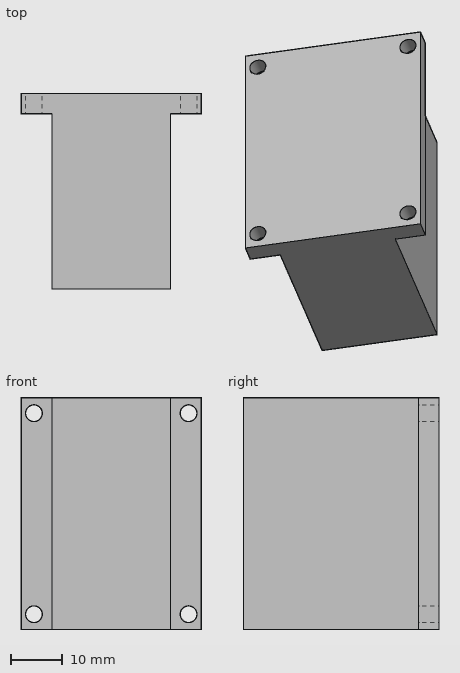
import cadquery as cq

flange_width = 35.0
flange_thickness = 4.0
height = 45.0

total_depth = 38.0
side_ledge = 6.0
block_width = flange_width - 2 * side_ledge
block_depth = total_depth - flange_thickness

hole_diameter = 3.2
hole_side_margin = 2.5
hole_end_margin = 3.0
hole_spacing_x = flange_width - 2 * hole_side_margin
hole_spacing_z = height - 2 * hole_end_margin


def make_flange():
    """Plate with its front face on the XZ plane, drilled through at the corners."""
    plate = cq.Workplane("XY").box(
        flange_width, flange_thickness, height, centered=(True, False, True)
    )
    drills = (
        cq.Workplane("XZ")
        .rarray(hole_spacing_x, hole_spacing_z, 2, 2)
        .circle(hole_diameter / 2)
        .extrude(-flange_thickness)
    )
    return plate.cut(drills)


def make_block():
    """Solid block reaching from the flange's front face toward -Y."""
    return (
        cq.Workplane("XZ")
        .rect(block_width, height)
        .extrude(block_depth)
    )


result = make_flange().union(make_block())